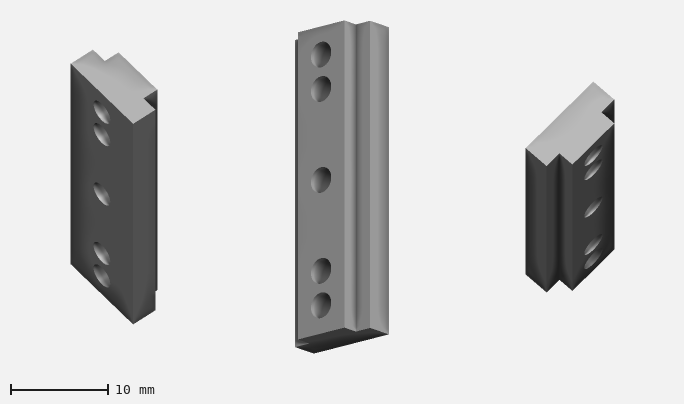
import cadquery as cq

length = 33.02
base_width = 10.17
total_depth = 4.75

tongue_width = 6.3
tongue_height = 1.8
base_depth = total_depth - tongue_height

hole_diameter = 2.75
inner_hole_offset = 9.77
outer_hole_offset = 13.47
hole_heights = [
    -outer_hole_offset,
    -inner_hole_offset,
    0,
    inner_hole_offset,
    outer_hole_offset,
]

base = cq.Workplane("XY").box(base_width, base_depth, length, centered=(True, False, True))
tongue = (
    cq.Workplane("XY")
    .box(tongue_width, total_depth, length, centered=(True, False, True))
)
holes = (
    cq.Workplane("XZ")
    .pushPoints([(0, height) for height in hole_heights])
    .circle(hole_diameter / 2)
    .extrude(-total_depth)
)

result = base.union(tongue).cut(holes)